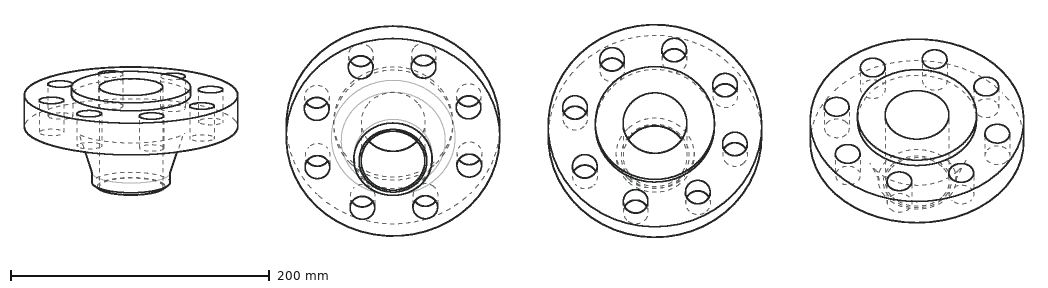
import cadquery as cq
import math


flange_diameter = 165.1
flange_thickness = 25.4
raised_face_diameter = 92.1
raised_face_height = 6.35
overall_height = 79.38
bore_diameter = 49.25

bolt_count = 8
bolt_circle_diameter = 127.0
bolt_hole_diameter = 19.05

neck_diameter = 60.5
neck_length = 11.0
weld_land = 1.6
weld_bevel_angle = 37.5
hub_top_diameter = 84.0
hub_fillet_radius = 8.0

flange_radius = flange_diameter / 2
raised_face_radius = raised_face_diameter / 2
bore_radius = bore_diameter / 2
neck_radius = neck_diameter / 2
hub_top_radius = hub_top_diameter / 2
land_radius = bore_radius + weld_land
bevel_height = (neck_radius - land_radius) * math.tan(math.radians(weld_bevel_angle))

flange_top = -raised_face_height
flange_bottom = flange_top - flange_thickness
neck_bottom = -overall_height
neck_top = neck_bottom + neck_length

taper_angle = math.atan2(hub_top_radius - neck_radius, flange_bottom - neck_top)
fillet_turn = math.pi / 2 - taper_angle
fillet_reach = hub_fillet_radius * math.tan(fillet_turn / 2)
fillet_outer_radius = hub_top_radius + fillet_reach
fillet_inner_radius = hub_top_radius - fillet_reach * math.sin(taper_angle)
fillet_bottom = flange_bottom - fillet_reach * math.cos(taper_angle)


def make_body():
    """Revolve the half section of flange, hub and neck around Z."""
    return (
        cq.Workplane("XZ")
        .moveTo(bore_radius, 0)
        .lineTo(raised_face_radius, 0)
        .lineTo(raised_face_radius, flange_top)
        .lineTo(flange_radius, flange_top)
        .lineTo(flange_radius, flange_bottom)
        .lineTo(fillet_outer_radius, flange_bottom)
        .tangentArcPoint((fillet_inner_radius, fillet_bottom), relative=False)
        .lineTo(neck_radius, neck_top)
        .lineTo(neck_radius, neck_bottom + bevel_height)
        .lineTo(land_radius, neck_bottom)
        .lineTo(bore_radius, neck_bottom)
        .close()
        .revolve(360, (0, 0, 0), (0, 1, 0))
    )


def drill_bolt_holes(body):
    """Cut the evenly spaced bolt holes through the flange."""
    holes = (
        cq.Workplane("XY", origin=(0, 0, flange_bottom))
        .polarArray(bolt_circle_diameter / 2, 0, 360, bolt_count)
        .circle(bolt_hole_diameter / 2)
        .extrude(flange_thickness)
    )
    return body.cut(holes)


result = drill_bolt_holes(make_body())